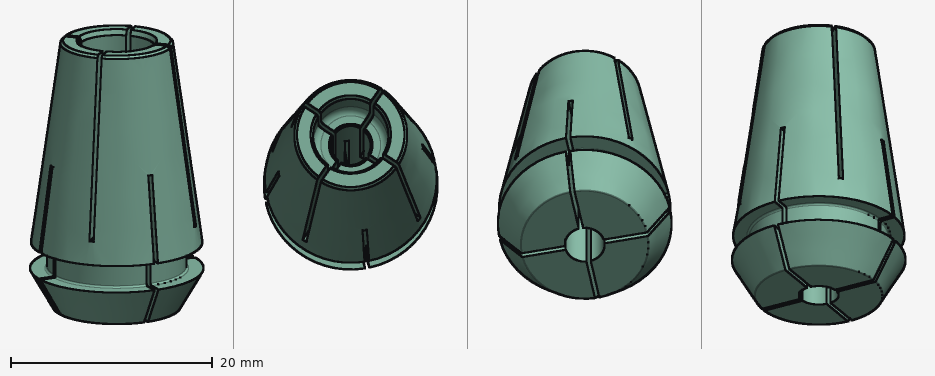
import cadquery as cq

height = 27.5
flange_top = 3.95
groove_top = 6.65

flange_radius = 8.64
flange_bottom_radius = 6.35
groove_radius = 6.93
cone_bottom_radius = 8.52
cone_top_radius = 5.6
top_chamfer = 0.28
groove_fillet = 0.2
bottom_fillet = 0.1

bore_radius = 3.95 / 2
bore_chamfer = 0.18
counterbore_radius = 3.75
counterbore_depth = 4.95
counterbore_fillet = 0.77
mouth_radius = 4.0
mouth_depth = 0.55

slit_width = 0.45
lower_slit_top = 15.45
upper_slit_bottom = 9.0
slit_length = 2.5 * flange_radius


def revolved(profile):
    """Close an (r, z) profile drawn on the XZ plane and turn it about Z."""
    return profile.close().revolve(360, (0, 0, 0), (0, 1, 0))


def collet_body():
    """Flange, groove and clamping cone, without the bore."""
    body = revolved(
        cq.Workplane("XZ")
        .lineTo(flange_bottom_radius, 0)
        .lineTo(flange_radius, flange_top)
        .lineTo(groove_radius + groove_fillet, flange_top)
        .radiusArc((groove_radius, flange_top + groove_fillet), groove_fillet)
        .lineTo(groove_radius, groove_top - groove_fillet)
        .radiusArc((groove_radius + groove_fillet, groove_top), groove_fillet)
        .lineTo(cone_bottom_radius, groove_top)
        .lineTo(cone_top_radius, height - top_chamfer)
        .lineTo(cone_top_radius - top_chamfer, height)
        .lineTo(0, height)
    )
    return body.faces("<Z").edges().fillet(bottom_fillet)


def stepped_bore():
    """Through bore with a round-cornered counterbore and a flared mouth."""
    ledge = height - counterbore_depth
    return revolved(
        cq.Workplane("XZ")
        .lineTo(bore_radius, 0)
        .lineTo(bore_radius, ledge - bore_chamfer)
        .lineTo(bore_radius + bore_chamfer, ledge)
        .lineTo(counterbore_radius - counterbore_fillet, ledge)
        .radiusArc((counterbore_radius, ledge + counterbore_fillet), -counterbore_fillet)
        .lineTo(counterbore_radius, height - mouth_depth)
        .lineTo(mouth_radius, height)
        .lineTo(0, height)
    )


def crossed_slits(bottom, top, start_angle):
    """Two full-width slits at right angles, between two heights."""
    slit = cq.Workplane("XY", origin=(0, 0, bottom)).rect(slit_length, slit_width).extrude(top - bottom)
    first = slit.rotate((0, 0, 0), (0, 0, 1), start_angle)
    second = slit.rotate((0, 0, 0), (0, 0, 1), start_angle + 90)
    return first.union(second)


result = (
    collet_body()
    .cut(stepped_bore())
    .cut(crossed_slits(0, lower_slit_top, 0))
    .cut(crossed_slits(upper_slit_bottom, height, 45))
)